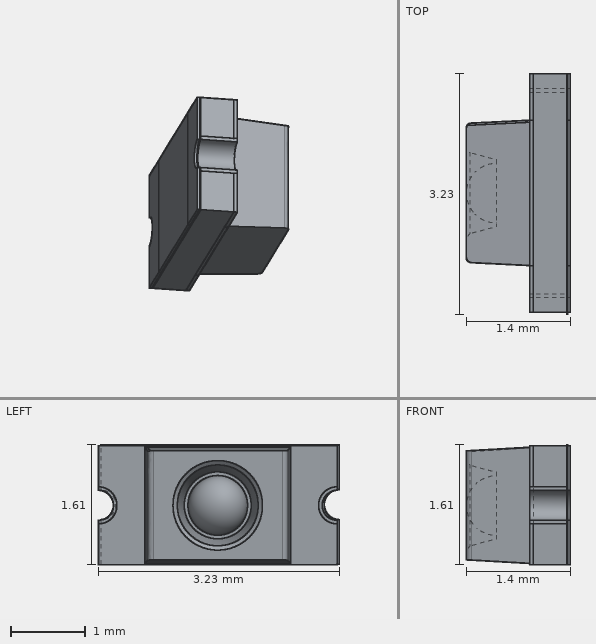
import cadquery as cq

LENGTH_Y = 3.2
HEIGHT_Z = 1.6
STACK_DEPTH = 0.55
LAYER = 0.05
SHEET = 0.01
SHEET_SHIFT_Y = -0.03
SHEET_SHIFT_Z = 0.01
BOARD_BACK = STACK_DEPTH - LAYER
SHEET_BACK = BOARD_BACK + SHEET

NOTCH_RADIUS = 0.2
PLATING_RADIUS = NOTCH_RADIUS + LAYER

CASE_DEPTH = 0.85
CASE_BASE_Y = 1.95
CASE_BASE_Z = 1.56
CASE_TIP_Y = 1.867
CASE_TIP_Z = 1.463
CASE_FILLET = 0.075
CORNER_CHAMFER_Y = 0.03
CORNER_CHAMFER_Z = 0.01
PAD_LENGTH = (LENGTH_Y - CASE_BASE_Y) / 2

MOUTH_RADIUS = 0.6
STEP_RADIUS = 0.543
FLOOR_RADIUS = 0.45
DOME_RADIUS = 0.4
STEP_DEPTH = 0.05
FLOOR_DEPTH = 0.4

ENDS = (-1, 1)


def slab(x_start, x_end, size_y, size_z, y=0, z=0):
    """Plate between two X positions, centred at (y, z)."""
    return (
        cq.Workplane("YZ", origin=(x_start, y, z))
        .rect(size_y, size_z)
        .extrude(x_end - x_start)
    )


def cut_end_notches(body, radius, y_shift=0, z_shift=0):
    """Cut a round notch of the given radius through both board ends."""
    for end in ENDS:
        notch = (
            cq.Workplane("YZ", origin=(0, end * LENGTH_Y / 2 + y_shift, z_shift))
            .circle(radius)
            .extrude(STACK_DEPTH)
        )
        body = body.cut(notch)
    return body


def make_board():
    return cut_end_notches(slab(LAYER, BOARD_BACK, LENGTH_Y, HEIGHT_Z), PLATING_RADIUS)


def make_pad(end, x_start, x_end, notch_radius):
    pad_y = end * (LENGTH_Y - PAD_LENGTH) / 2
    return cut_end_notches(slab(x_start, x_end, PAD_LENGTH, HEIGHT_Z, y=pad_y), notch_radius)


def make_plating(end):
    """Half ring lining one end notch, flush with the front pad and the board back."""
    ring = (
        cq.Workplane("YZ", origin=(0, end * LENGTH_Y / 2, 0))
        .circle(PLATING_RADIUS)
        .circle(NOTCH_RADIUS)
        .extrude(BOARD_BACK)
    )
    return ring.intersect(slab(0, BOARD_BACK, LENGTH_Y, HEIGHT_Z))


def make_mask():
    """Rear mask: a thin shifted sheet with a raised strip between the rear pads."""
    sheet = slab(BOARD_BACK, SHEET_BACK, LENGTH_Y, HEIGHT_Z, SHEET_SHIFT_Y, SHEET_SHIFT_Z)
    sheet = cut_end_notches(sheet, NOTCH_RADIUS, SHEET_SHIFT_Y, SHEET_SHIFT_Z)
    return sheet.union(slab(SHEET_BACK, STACK_DEPTH, CASE_BASE_Y, HEIGHT_Z))


def make_recess():
    """Flared recess about the X axis, leaving the dome standing on its floor."""
    floor_x = FLOOR_DEPTH - CASE_DEPTH
    face_x = -CASE_DEPTH
    bowl = (
        cq.Workplane("XY")
        .moveTo(face_x, 0)
        .lineTo(face_x, MOUTH_RADIUS)
        .lineTo(face_x + STEP_DEPTH, STEP_RADIUS)
        .lineTo(floor_x, FLOOR_RADIUS)
        .lineTo(floor_x, 0)
        .close()
        .revolve(360, (0, 0, 0), (1, 0, 0))
    )
    dome = cq.Workplane("XY", origin=(floor_x, 0, 0)).sphere(DOME_RADIUS)
    return bowl.cut(dome)


def make_case():
    body = (
        cq.Workplane("YZ")
        .rect(CASE_BASE_Y, CASE_BASE_Z)
        .workplane(offset=-CASE_DEPTH)
        .rect(CASE_TIP_Y, CASE_TIP_Z)
        .loft(ruled=True)
    )
    upper_corner = body.faces(">Z").edges(">Y").val()
    body = cq.Workplane(
        body.val().chamfer(CORNER_CHAMFER_Z, CORNER_CHAMFER_Y, [upper_corner])
    )
    body = body.faces("<X").edges("<Y or >Y").fillet(CASE_FILLET)
    strip = slab(0, LAYER, CASE_BASE_Y, HEIGHT_Z)
    return body.cut(make_recess()).union(strip)


board = make_board()
case = make_case()
mask = make_mask()
front_pads = [make_pad(end, 0, LAYER, PLATING_RADIUS) for end in ENDS]
rear_pads = [make_pad(end, SHEET_BACK, STACK_DEPTH, NOTCH_RADIUS) for end in ENDS]
platings = [make_plating(end) for end in ENDS]

bodies = [board, case, mask, *front_pads, *rear_pads, *platings]
result = cq.Compound.makeCompound([body.val() for body in bodies])